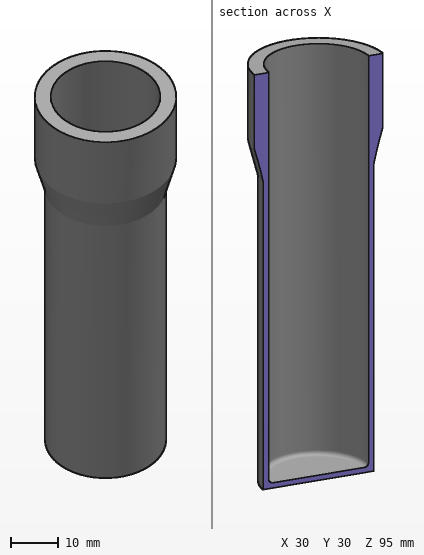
import cadquery as cq

total_height = 95.0
head_diameter = 30.0
head_height = 17.0
taper_height = 8.0
shank_diameter = 25.8
bore_diameter = 23.2
floor_fillet_radius = 1.0

head_radius = head_diameter / 2
shank_radius = shank_diameter / 2
head_base_z = total_height - head_height
shank_top_z = head_base_z - taper_height
floor_thickness = (shank_diameter - bore_diameter) / 2
bore_depth = total_height - floor_thickness


def make_body():
    """Round shank that flares through a cone into the wider head, standing on Z = 0."""
    return (
        cq.Workplane("XZ")
        .lineTo(shank_radius, 0)
        .lineTo(shank_radius, shank_top_z)
        .lineTo(head_radius, head_base_z)
        .lineTo(head_radius, total_height)
        .lineTo(0, total_height)
        .close()
        .revolve(360, (0, 0, 0), (0, 1, 0))
    )


def make_bore():
    """Blind bore, open at the top, with a rounded edge around its flat floor."""
    return (
        cq.Workplane("XY")
        .workplane(offset=floor_thickness)
        .circle(bore_diameter / 2)
        .extrude(bore_depth)
        .faces("<Z")
        .edges()
        .fillet(floor_fillet_radius)
    )


result = make_body().cut(make_bore())